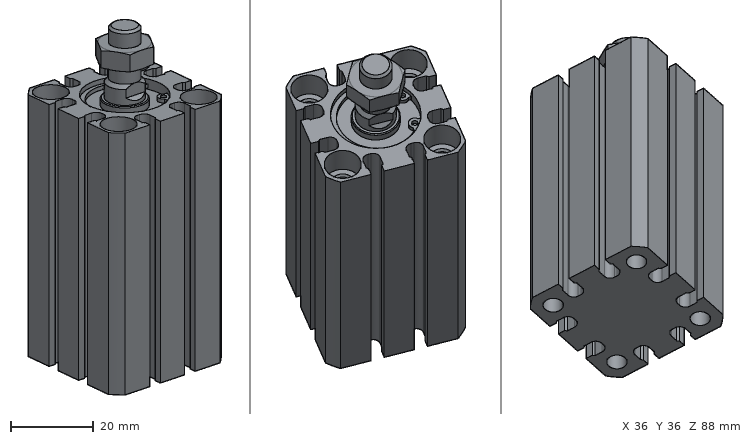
import cadquery as cq
import math

HOUSING_WIDTH = 36.0
HOUSING_HEIGHT = 69.5
CORNER_DIAMETER = 47.0

SLOT_OFFSET = 5.5
SLOT_MOUTH_WIDTH = 3.3
SLOT_MOUTH_DEPTH = 1.9
SLOT_CHANNEL_WIDTH = 4.3
SLOT_DEPTH = 6.3
SLOT_BOTTOM_RADIUS = 1.8

MOUNT_SPACING = 25.5
MOUNT_HOLE_DIAMETER = 4.9
MOUNT_COUNTERSINK_DIAMETER = 6.0
MOUNT_COUNTERBORE_DIAMETER = 9.0
MOUNT_COUNTERBORE_DEPTH = 7.0

RECESS_DIAMETER = 22.0
RECESS_DEPTH = 2.7
COLLAR_DIAMETER = 12.0
COLLAR_CHAMFER = 0.3
COLLAR_TOP_DEPTH = 0.7

RING_TOP_DEPTH = 1.3
RING_THICKNESS = 1.1
RING_INNER_DIAMETER = 20.0
RING_ECCENTRICITY = 0.4
RING_LUG_X = 4.7
RING_LUG_Y = 8.45
RING_LUG_DIAMETER = 3.2
RING_LUG_HOLE_DIAMETER = 1.5
RING_END_Y = 7.6
RING_END_X = 3.6

ROD_TOP = 88.0
ROD_DIAMETER = 10.0
THREAD_DIAMETER = 8.0
THREAD_TIP_DIAMETER = 6.7
SHOULDER_HEIGHT = 4.5
FLATS_WIDTH = 8.0
FLATS_HEIGHT = 1.2

NUT_ACROSS_FLATS = 13.0
NUT_HEIGHT = 5.0
NUT_BOTTOM = HOUSING_HEIGHT + 9.0
NUT_CHAMFER_HEIGHT = 0.3

RECESS_FLOOR = HOUSING_HEIGHT - RECESS_DEPTH


def cylinder(diameter, bottom, top, x=0.0, y=0.0):
    """Upright cylinder between two levels."""
    return cq.Workplane("XY", origin=(x, y, bottom)).circle(diameter / 2).extrude(top - bottom)


def slot_cutter(offset):
    """Full-height T-slot cut into the +Y face, centred at x = offset."""
    mouth_half = SLOT_MOUTH_WIDTH / 2
    channel_half = SLOT_CHANNEL_WIDTH / 2
    lip_end = -SLOT_MOUTH_DEPTH
    channel_start = lip_end - (channel_half - mouth_half)
    return (
        cq.Workplane("XY", origin=(offset, HOUSING_WIDTH / 2, 0))
        .moveTo(-mouth_half, 0)
        .lineTo(-mouth_half, lip_end)
        .lineTo(-channel_half, channel_start)
        .lineTo(-channel_half, -SLOT_DEPTH)
        .lineTo(channel_half, -SLOT_DEPTH)
        .lineTo(channel_half, channel_start)
        .lineTo(mouth_half, lip_end)
        .lineTo(mouth_half, 0)
        .close()
        .extrude(HOUSING_HEIGHT)
        .edges("|Z and <Y")
        .fillet(SLOT_BOTTOM_RADIUS)
    )


def profile():
    """Square bar with trimmed corners and two T-slots in each side."""
    bar = (
        cq.Workplane("XY")
        .rect(HOUSING_WIDTH, HOUSING_WIDTH)
        .extrude(HOUSING_HEIGHT)
        .intersect(cylinder(CORNER_DIAMETER, 0, HOUSING_HEIGHT))
    )
    for quarter_turn in range(4):
        for side in (-1, 1):
            cutter = slot_cutter(side * SLOT_OFFSET)
            bar = bar.cut(cutter.rotate((0, 0, 0), (0, 0, 1), 90 * quarter_turn))
    return bar


def mount_hole_cutters():
    """Through holes, counterbored from the top, with a countersink on each counterbore floor."""
    counterbore_floor = HOUSING_HEIGHT - MOUNT_COUNTERBORE_DEPTH
    hole_radius = MOUNT_HOLE_DIAMETER / 2
    sink_radius = MOUNT_COUNTERSINK_DIAMETER / 2
    bore_radius = MOUNT_COUNTERBORE_DIAMETER / 2
    hole = (
        cq.Workplane("XZ")
        .lineTo(hole_radius, 0)
        .lineTo(hole_radius, counterbore_floor - (sink_radius - hole_radius))
        .lineTo(sink_radius, counterbore_floor)
        .lineTo(bore_radius, counterbore_floor)
        .lineTo(bore_radius, HOUSING_HEIGHT)
        .lineTo(0, HOUSING_HEIGHT)
        .close()
        .revolve(360, (0, 0, 0), (0, 1, 0))
        .val()
    )
    return (
        cq.Workplane("XY")
        .rect(MOUNT_SPACING, MOUNT_SPACING, forConstruction=True)
        .vertices()
        .eachpoint(lambda place: hole.moved(place))
    )


def retaining_ring():
    """Ring against the recess wall, with a drilled lug at each side of its opening."""
    top = HOUSING_HEIGHT - RING_TOP_DEPTH
    bottom = top - RING_THICKNESS
    disc = cylinder(RECESS_DIAMETER, bottom, top)
    inside = cylinder(RING_INNER_DIAMETER, bottom, top, y=RING_ECCENTRICITY)
    end_side = (
        cq.Workplane("XY", origin=(0, RING_END_Y + RECESS_DIAMETER / 2, bottom))
        .rect(RECESS_DIAMETER, RECESS_DIAMETER)
        .extrude(RING_THICKNESS)
    )
    middle_strip = (
        cq.Workplane("XY", origin=(0, RECESS_DIAMETER / 2, bottom))
        .rect(2 * RING_END_X, RECESS_DIAMETER)
        .extrude(RING_THICKNESS)
    )
    arc = disc.cut(inside).cut(end_side)
    ends = disc.intersect(end_side).cut(middle_strip)
    ring = arc.union(ends)
    for side in (-1, 1):
        lug_x = side * RING_LUG_X
        lug = cylinder(RING_LUG_DIAMETER, bottom, top, lug_x, RING_LUG_Y)
        lug_hole = cylinder(RING_LUG_HOLE_DIAMETER, bottom, top, lug_x, RING_LUG_Y)
        ring = ring.union(lug.intersect(disc)).cut(lug_hole)
    return ring


def make_housing():
    """Slotted bar with mounting holes, top recess, ring and a collar bored for the rod."""
    collar_top = HOUSING_HEIGHT - COLLAR_TOP_DEPTH
    collar = cylinder(COLLAR_DIAMETER, RECESS_FLOOR, collar_top).faces(">Z").chamfer(COLLAR_CHAMFER)
    return (
        profile()
        .cut(mount_hole_cutters())
        .cut(cylinder(RECESS_DIAMETER, RECESS_FLOOR, HOUSING_HEIGHT))
        .union(collar)
        .union(retaining_ring())
        .cut(cylinder(ROD_DIAMETER, RECESS_FLOOR, HOUSING_HEIGHT))
    )


def make_rod():
    """Stepped rod standing on the recess floor, with two wrench flats facing +X and -X."""
    rod_radius = ROD_DIAMETER / 2
    thread_radius = THREAD_DIAMETER / 2
    tip_radius = THREAD_TIP_DIAMETER / 2
    shoulder_top = HOUSING_HEIGHT + SHOULDER_HEIGHT
    rod = (
        cq.Workplane("XZ")
        .moveTo(0, RECESS_FLOOR)
        .lineTo(rod_radius, RECESS_FLOOR)
        .lineTo(rod_radius, shoulder_top - (rod_radius - thread_radius))
        .lineTo(thread_radius, shoulder_top)
        .lineTo(thread_radius, ROD_TOP - (thread_radius - tip_radius))
        .lineTo(tip_radius, ROD_TOP)
        .lineTo(0, ROD_TOP)
        .close()
        .revolve(360, (0, 0, 0), (0, 1, 0))
    )
    flat_x = FLATS_WIDTH / 2
    flat_depth = rod_radius - flat_x
    flats_bottom = HOUSING_HEIGHT + FLATS_HEIGHT
    flat_cutter = (
        cq.Workplane("XZ")
        .moveTo(flat_x, shoulder_top)
        .lineTo(flat_x, flats_bottom)
        .lineTo(rod_radius, flats_bottom - flat_depth)
        .lineTo(rod_radius, shoulder_top)
        .close()
        .extrude(rod_radius, both=True)
    )
    return rod.cut(flat_cutter).cut(flat_cutter.mirror("YZ"))


def make_nut():
    """Hexagon nut with corners on the Y axis, chamfered at both ends."""
    across_corners = NUT_ACROSS_FLATS / math.cos(math.pi / 6)
    face_radius = NUT_ACROSS_FLATS / 2
    corner_radius = across_corners / 2
    nut_top = NUT_BOTTOM + NUT_HEIGHT
    chamfer_envelope = (
        cq.Workplane("XZ")
        .moveTo(0, NUT_BOTTOM)
        .lineTo(face_radius, NUT_BOTTOM)
        .lineTo(corner_radius, NUT_BOTTOM + NUT_CHAMFER_HEIGHT)
        .lineTo(corner_radius, nut_top - NUT_CHAMFER_HEIGHT)
        .lineTo(face_radius, nut_top)
        .lineTo(0, nut_top)
        .close()
        .revolve(360, (0, 0, 0), (0, 1, 0))
    )
    return (
        cq.Workplane("XY", origin=(0, 0, NUT_BOTTOM))
        .polygon(6, across_corners)
        .extrude(NUT_HEIGHT)
        .rotate((0, 0, 0), (0, 0, 1), 90)
        .intersect(chamfer_envelope)
        .cut(cylinder(THREAD_DIAMETER, NUT_BOTTOM, nut_top))
    )


housing = make_housing()
rod = make_rod()
nut = make_nut()

result = cq.Compound.makeCompound([housing.val(), rod.val(), nut.val()])